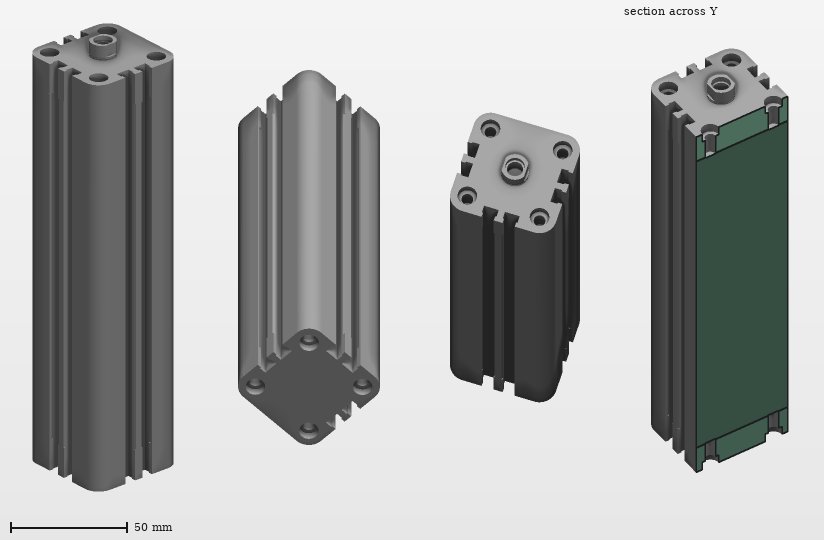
import cadquery as cq

TOTAL_LENGTH = 201.0
SECTION_WIDTH = 47.5
HALF_WIDTH = SECTION_WIDTH / 2
CORNER_RADIUS = 7.5

CAP_LENGTH = 14.5
ROD_PROTRUSION = 6.8
CAP_TOP = TOTAL_LENGTH - ROD_PROTRUSION
BARREL_LENGTH = CAP_TOP - 2 * CAP_LENGTH

SLOT_DEPTH = 5.2
LIP_DEPTH = 2.0
RIB_HEAD = 2.0
RIB_NECK = 1.5
MOUTH_OUTER = 7.5
POCKET_OUTER = 8.0
SLOTTED_SIDES = (0, 90, -90)

RIB_BEVEL_WIDTH = 0.5
EDGE_DEPTH = 1.0

SCREW_OFFSET = 16.3
SCREW_DIAMETER = 5.0
COUNTERBORE_DIAMETER = 8.5
COUNTERBORE_DEPTH = 4.2

ROD_DIAMETER = 12.0
ROD_END_DIAMETER = 11.9
ROD_STEP_HEIGHT = 0.6
FLAT_HEIGHT = 1.5
ACROSS_FLATS = 10.0
ROD_HOLE_DIAMETER = 6.8
ROD_HOLE_DEPTH = 10.0
ROD_RECESS_DIAMETER = 8.5
ROD_RECESS_DEPTH = 2.6


def square_block(length):
    """Square bar with rounded corners, standing on Z = 0."""
    block = cq.Workplane("XY").rect(SECTION_WIDTH, SECTION_WIDTH).extrude(length)
    return block.edges("|Z").fillet(CORNER_RADIUS)


def cap_slot_outline():
    """Stepped T-slot in the -Y side, on the +X side of the rib."""
    face = -HALF_WIDTH
    lip = face + LIP_DEPTH
    floor = face + SLOT_DEPTH
    return [
        (RIB_HEAD, face),
        (RIB_HEAD, lip),
        (RIB_NECK, lip),
        (RIB_NECK, floor),
        (POCKET_OUTER, floor),
        (POCKET_OUTER, lip),
        (MOUTH_OUTER, lip),
        (MOUTH_OUTER, face),
    ]


def barrel_slot_outline():
    """T-slot with a bevelled rib head and a sloping underside of the outer lip."""
    face = -HALF_WIDTH
    lip = face + LIP_DEPTH
    floor = face + SLOT_DEPTH
    return [
        (RIB_HEAD - RIB_BEVEL_WIDTH, face),
        (RIB_HEAD, face + EDGE_DEPTH),
        (RIB_HEAD, lip),
        (RIB_NECK, lip),
        (RIB_NECK, floor),
        (POCKET_OUTER, floor),
        (POCKET_OUTER, lip),
        (MOUTH_OUTER, face + EDGE_DEPTH),
        (MOUTH_OUTER, face),
    ]


def cut_slots(body, outline, length):
    """Cut the slot pair, mirrored about the rib, into each slotted side."""
    slot = cq.Workplane("XY").polyline(outline).close().extrude(length)
    pair = slot.union(slot.mirror("YZ"))
    for angle in SLOTTED_SIDES:
        body = body.cut(pair.rotate((0, 0, 0), (0, 0, 1), angle))
    return body


def make_cap():
    """End cap with its counterbored face at the top."""
    cap = cut_slots(square_block(CAP_LENGTH), cap_slot_outline(), CAP_LENGTH)
    return (
        cap.faces(">Z").workplane(origin=(0, 0, CAP_LENGTH))
        .rect(2 * SCREW_OFFSET, 2 * SCREW_OFFSET, forConstruction=True)
        .vertices()
        .cboreHole(SCREW_DIAMETER, COUNTERBORE_DIAMETER, COUNTERBORE_DEPTH)
    )


def make_top_cap():
    """Cap at the rod end, bored for the rod."""
    bore = cq.Workplane("XY").circle(ROD_DIAMETER / 2).extrude(CAP_LENGTH)
    return make_cap().cut(bore).translate((0, 0, CAP_TOP - CAP_LENGTH))


def make_bottom_cap():
    """Cap at the closed end, with its counterbored face turned down."""
    return make_cap().mirror("XY").translate((0, 0, CAP_LENGTH))


def make_barrel():
    """Profile barrel between the caps."""
    barrel = cut_slots(square_block(BARREL_LENGTH), barrel_slot_outline(), BARREL_LENGTH)
    return barrel.translate((0, 0, CAP_LENGTH))


def make_rod():
    """Rod from the barrel through the top cap, with two wrench flats and a stepped hole."""
    step_level = CAP_TOP + ROD_STEP_HEIGHT
    shank_start = CAP_TOP - CAP_LENGTH
    rod = (
        cq.Workplane("XY", origin=(0, 0, shank_start))
        .circle(ROD_DIAMETER / 2)
        .extrude(step_level - shank_start)
        .faces(">Z").workplane()
        .circle(ROD_END_DIAMETER / 2)
        .extrude(TOTAL_LENGTH - step_level)
    )
    rod = rod.faces(">Z").workplane().cboreHole(
        ROD_HOLE_DIAMETER, ROD_RECESS_DIAMETER, ROD_RECESS_DEPTH, ROD_HOLE_DEPTH
    )
    for side in (-1, 1):
        flat = (
            cq.Workplane("XY", origin=(0, 0, CAP_TOP + FLAT_HEIGHT))
            .center(side * (ACROSS_FLATS + ROD_DIAMETER) / 2, 0)
            .rect(ROD_DIAMETER, ROD_DIAMETER)
            .extrude(ROD_PROTRUSION - FLAT_HEIGHT)
        )
        rod = rod.cut(flat)
    return rod


top_cap = make_top_cap()
bottom_cap = make_bottom_cap()
barrel = make_barrel()
rod = make_rod()

result = cq.Compound.makeCompound([top_cap.val(), bottom_cap.val(), barrel.val(), rod.val()])